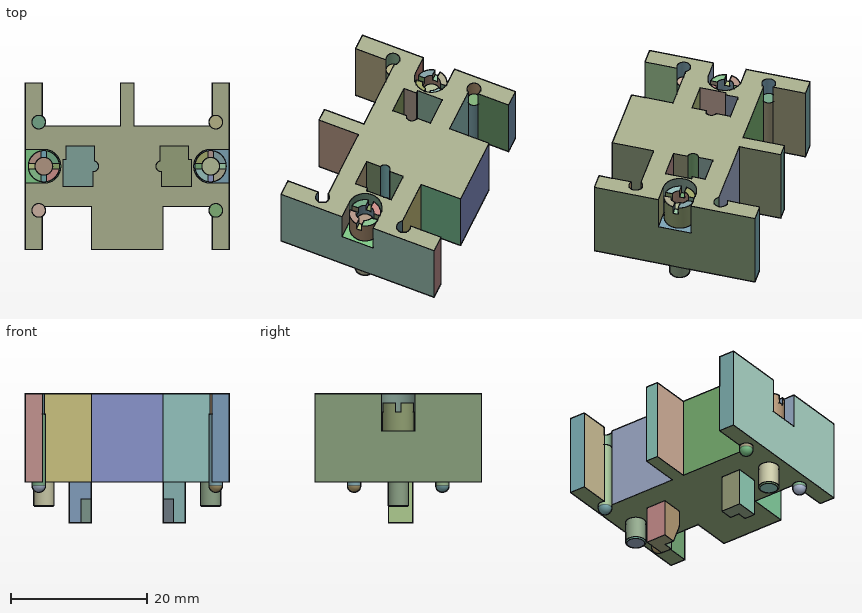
import cadquery as cq


length = 30.0
width = 24.5
height = 13.0
side_arm_thickness = 2.55
core_half_width = 5.95
front_block_width = 10.5
rear_rib_thickness = 2.0

post_diameter = 2.0
post_x = 13.0
post_y = 6.48
post_top_drop = 3.0
post_straight_drop = 0.5

socket_depth = 9.0
socket_half_width = 2.97
socket_step_y = 1.0
socket_front_x = (5.0, 9.42)
socket_rear_x = (4.8, 8.97)
keyway_diameter = 1.6

leg_length = 6.0
leg_width = 3.27
leg_y = (-1.45, 2.15)
bevel_width = 1.53
bevel_height = 3.48
bevel_depth = 1.5

screw_x = 12.25
recess_width = 4.98
recess_depth = 5.52
shank_diameter = 3.0
shank_tip_diameter = 2.6
shank_drop = 3.6
head_diameter = 4.6
head_top_drop = 1.38
head_bore_diameter = 2.6
head_bore_depth = 2.4
head_slot_width = 0.78
head_slot_depth = 1.3

SIDES = (-1, 1)
half_length = length / 2
half_width = width / 2
recess_floor = height - recess_depth
head_top = height - head_top_drop


def box(x_range, y_range, z_range):
    """Box between two X, two Y and two Z limits, given in any order."""
    x0, x1 = sorted(x_range)
    y0, y1 = sorted(y_range)
    z0, z1 = sorted(z_range)
    return cq.Workplane("XY").box(x1 - x0, y1 - y0, z1 - z0, centered=False).translate((x0, y0, z0))


def cylinder(x, y, diameter, z0, z1):
    """Upright cylinder from z0 up to z1."""
    return cq.Workplane("XY", origin=(x, y, z0)).circle(diameter / 2).extrude(z1 - z0)


def make_block():
    """H-shaped body: core, two side arms, front block and rear rib."""
    z_range = (0, height)
    block = box((-half_length, half_length), (-core_half_width, core_half_width), z_range)
    for side in SIDES:
        arm_x = (side * half_length, side * (half_length - side_arm_thickness))
        block = block.union(box(arm_x, (-half_width, half_width), z_range))
    front_x = (-front_block_width / 2, front_block_width / 2)
    rib_x = (-rear_rib_thickness / 2, rear_rib_thickness / 2)
    block = block.union(box(front_x, (-half_width, 0), z_range))
    return block.union(box(rib_x, (0, half_width), z_range))


def make_post(x, y):
    """Round post with a domed lower end."""
    shaft = cylinder(x, y, post_diameter, -post_straight_drop, height - post_top_drop)
    dome = cq.Workplane("XY").sphere(post_diameter / 2).translate((x, y, -post_straight_drop))
    return shaft.union(dome)


def make_socket(side):
    """Blind stepped socket with a half-round keyway on its inner wall."""
    z_range = (height - socket_depth, height)
    front_x = [side * x for x in socket_front_x]
    rear_x = [side * x for x in socket_rear_x]
    front = box(front_x, (-socket_half_width, socket_step_y), z_range)
    rear = box(rear_x, (0, socket_half_width), z_range)
    keyway = cylinder(side * socket_front_x[0], 0, keyway_diameter, *z_range)
    return front.union(rear).union(keyway)


def make_leg(side):
    """Rectangular leg whose inner lower front corner is cut away by a sloping face."""
    inner_x = side * front_block_width / 2
    leg = box((inner_x, inner_x + side * leg_width), leg_y, (-leg_length, 0))
    front_y = leg_y[0]
    bevel = (
        cq.Workplane("YZ", origin=(inner_x, 0, 0))
        .moveTo(front_y, bevel_height - leg_length)
        .lineTo(front_y, -leg_length)
        .lineTo(front_y + bevel_depth, -leg_length)
        .close()
        .extrude(side * bevel_width)
    )
    return leg.cut(bevel)


def make_screw_recess(side):
    """Round-ended recess open to the outer side, with a shank hole through its floor."""
    z_range = (recess_floor, height)
    x = side * screw_x
    recess = cylinder(x, 0, recess_width, *z_range)
    recess = recess.union(box((x, side * half_length), (-recess_width / 2, recess_width / 2), z_range))
    return recess.union(cylinder(x, 0, shank_diameter, 0, recess_floor))


def make_housing():
    """Block with its posts, sockets, legs and screw recesses."""
    housing = make_block()
    for side in SIDES:
        for end in SIDES:
            x = side * post_x
            y = end * post_y
            housing = housing.cut(cylinder(x, y, post_diameter, 0, height))
            housing = housing.union(make_post(x, y))
        housing = housing.cut(make_socket(side)).cut(make_screw_recess(side))
        housing = housing.union(make_leg(side))
    return housing


def make_screw(side):
    """Screw with a bored, cross-slotted head and a chamfered shank."""
    x = side * screw_x
    tip_chamfer = (shank_diameter - shank_tip_diameter) / 2
    shank = cylinder(x, 0, shank_diameter, -shank_drop, recess_floor).faces("<Z").chamfer(tip_chamfer)
    head = cylinder(x, 0, head_diameter, recess_floor, head_top)
    slot_z = (head_top - head_slot_depth, head_top)
    reach = head_diameter / 2
    half_slot = head_slot_width / 2
    head = head.cut(cylinder(x, 0, head_bore_diameter, head_top - head_bore_depth, head_top))
    head = head.cut(box((x - reach, x + reach), (-half_slot, half_slot), slot_z))
    head = head.cut(box((x - half_slot, x + half_slot), (-reach, reach), slot_z))
    return head.union(shank)


housing = make_housing()
screws = [make_screw(side) for side in SIDES]

result = cq.Compound.makeCompound([housing.val(), *[screw.val() for screw in screws]])